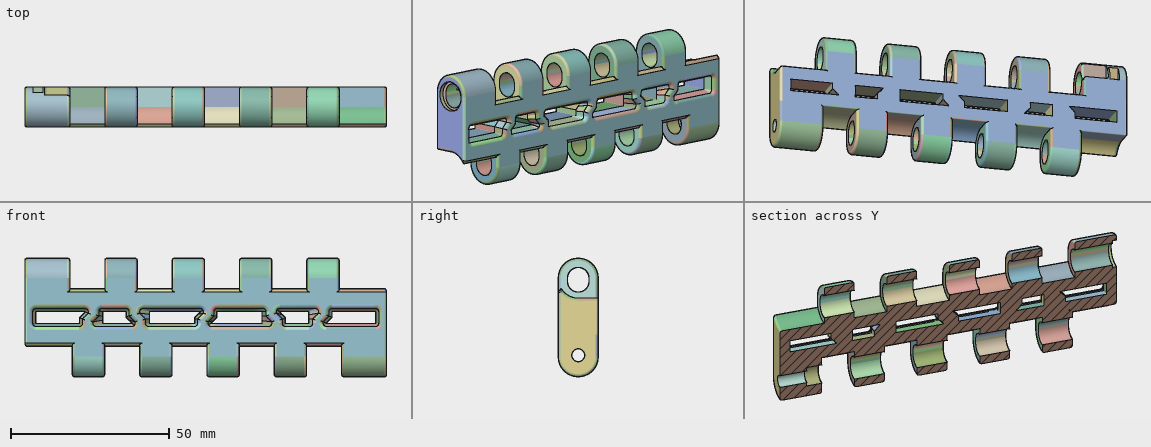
import cadquery as cq
import math

LENGTH = 114.2
THICKNESS = 12.7
HEIGHT = 37.5
EYE_RADIUS = THICKNESS / 2
HINGE_Z = HEIGHT / 2 - EYE_RADIUS
LEFT = -LENGTH / 2
RIGHT = LENGTH / 2
FRONT = -THICKNESS / 2
BACK = THICKNESS / 2
EDGE_FILLET = 0.8

EYE_COUNT = 5
EYE_PITCH = 21.2
EYE_WIDTH = 10.3
FIRST_EYE_CENTRE = LEFT + 9.1
END_EYE_STOP = FIRST_EYE_CENTRE + EYE_WIDTH / 2

HOLLOW_RADIUS = 6.3
GAP_FLOOR_Z = HINGE_Z - HOLLOW_RADIUS
LIP_DEPTH = 0.97
LIP_EDGE_Z = 8.1
BACK_FILLET = 0.3

BORE_DIAMETER = 6.7
BORE_STRETCH = 0.97
SMALL_BORE_DIAMETER = 4.0
ROD_SEAT_DIAMETER = 6.4
ROD_SEAT_DEPTH = 5.1
COUNTERBORE_DIAMETER = 9.4
COUNTERBORE_DEPTH = 1.4
BORE_MIDDLE_Z = HINGE_Z - BORE_STRETCH / 2

WINDOW_START = LEFT + 2.6
WINDOW_STOP = LEFT + 5.7
WINDOW_DEPTH = 1.8
NOTCH_START = LEFT + 6.3
NOTCH_DEPTH = 2.6

OPENING_HALF_HEIGHT = 4.0
OPENING_CORNER = 2.2
OPENING_END_WALL = 1.4
MOUTH_FILLET = 1.1
MOUTH_DEPTH = 1.4
NECK_INSET = 2.11
NECK_DEPTH = 3.9
SHARP_CORNER = 0.06
RIB_THICKNESS = 1.0
RIB_SHIFT = 0.9
WIDE_NECK_OFFSET = 3.9
INNER_RIB_X = 21.6
OUTER_RIB_X = 36.3
RIBS = [(-OUTER_RIB_X, 1), (-INNER_RIB_X, -1), (0.0, 1), (INNER_RIB_X, -1), (OUTER_RIB_X, 1)]


def half_turn(shape):
    return shape.rotate((0, 0, 0), (0, 1, 0), 180)


def make_body():
    """Slab with the hollow edge profile on both long sides."""
    lip_y = FRONT + LIP_DEPTH
    lip_z = HINGE_Z - math.sqrt(HOLLOW_RADIUS**2 - lip_y**2)
    mid_y = -HOLLOW_RADIUS * math.sin(math.asin(-lip_y / HOLLOW_RADIUS) / 2)
    mid_z = HINGE_Z - math.sqrt(HOLLOW_RADIUS**2 - mid_y**2)
    body = (
        cq.Workplane("YZ", origin=(LEFT, 0, 0))
        .moveTo(BACK, GAP_FLOOR_Z)
        .lineTo(0, GAP_FLOOR_Z)
        .threePointArc((mid_y, mid_z), (lip_y, lip_z))
        .lineTo(FRONT, LIP_EDGE_Z)
        .lineTo(FRONT, -LIP_EDGE_Z)
        .lineTo(lip_y, -lip_z)
        .threePointArc((mid_y, -mid_z), (0, -GAP_FLOOR_Z))
        .lineTo(BACK, -GAP_FLOOR_Z)
        .close()
        .extrude(LENGTH)
    )
    body = body.faces("<X or >X").edges().fillet(EDGE_FILLET)
    return body.edges("|X and >Y").fillet(BACK_FILLET)


def make_eye(start, end):
    """Upper eye with sharp edges, rooted at mid height."""
    return (
        cq.Workplane("YZ", origin=(start, 0, 0))
        .moveTo(BACK, 0)
        .lineTo(BACK, HINGE_Z)
        .threePointArc((0, HINGE_Z + EYE_RADIUS), (FRONT, HINGE_Z))
        .lineTo(FRONT, 0)
        .close()
        .extrude(end - start)
    )


def round_eye_ends(eye):
    """Round the end-face outlines, except along the root."""
    return eye.faces("<X or >X").edges("not(<Z)").fillet(EDGE_FILLET)


def make_recess(start, end, depth):
    """Tool cutting into the back of the end eye, from hinge height up."""
    return cq.Workplane("XY", origin=(start, BACK - depth, HINGE_Z)).box(
        end - start, depth, EYE_RADIUS, centered=False
    )


def make_recessed_end_eye():
    """Long eye with the rod retention recesses."""
    notch = make_recess(NOTCH_START, END_EYE_STOP, NOTCH_DEPTH).edges("<X and <Z").fillet(EDGE_FILLET)
    end_eye = round_eye_ends(make_eye(LEFT, END_EYE_STOP).cut(notch))
    return end_eye.cut(make_recess(WINDOW_START, WINDOW_STOP, WINDOW_DEPTH))


def make_eye_row(end_eye):
    """Upper row of eyes, starting with the given long one."""
    row = end_eye
    for i in range(1, EYE_COUNT):
        start = FIRST_EYE_CENTRE + i * EYE_PITCH - EYE_WIDTH / 2
        row = row.union(round_eye_ends(make_eye(start, start + EYE_WIDTH)))
    return row


def make_slot_bore(start, stop):
    """Rod slot stretched towards the body."""
    return (
        cq.Workplane("YZ", origin=(start, 0, BORE_MIDDLE_Z))
        .slot2D(BORE_DIAMETER + BORE_STRETCH, BORE_DIAMETER, 90)
        .extrude(stop - start)
    )


def make_round_bore(diameter, start, stop):
    return cq.Workplane("YZ", origin=(start, 0, BORE_MIDDLE_Z)).circle(diameter / 2).extrude(stop - start)


def end_points(side, rib, inset, neck_x):
    """Points of one end of an opening from top to bottom; side is -1 left, +1 right."""
    top = OPENING_HALF_HEIGHT - inset
    if rib is None:
        x = side * (LENGTH / 2 - OPENING_END_WALL - inset)
        return [(x, top), (x, -top)]
    middle, lean = rib
    if neck_x is not None:
        return [(neck_x, top), (neck_x, -top)]
    wall = middle - side * (RIB_THICKNESS / 2 + inset)
    crank = side * lean * inset * math.tan(math.pi / 8)
    return [
        (wall + lean * RIB_SHIFT, top),
        (wall + lean * RIB_SHIFT, RIB_SHIFT + crank),
        (wall - lean * RIB_SHIFT, -RIB_SHIFT + crank),
        (wall - lean * RIB_SHIFT, -top),
    ]


def opening_section(left_rib, right_rib, inset, y, wide_neck=False):
    """Closed outline of an opening in the plane at y, shrunk all round by inset.

    With wide_neck, the rib side nearer the module's middle is upright and set back from the rib.
    """
    left_neck = right_neck = None
    if wide_neck and left_rib is not None and left_rib[0] < 0:
        left_neck = left_rib[0] + WIDE_NECK_OFFSET
    if wide_neck and right_rib is not None and right_rib[0] > 0:
        right_neck = right_rib[0] - WIDE_NECK_OFFSET
    left = end_points(-1, left_rib, inset, left_neck)
    right = end_points(1, right_rib, inset, right_neck)
    corners = [right[0], right[-1], left[-1], left[0]]
    outline = right + left[::-1]
    wire = cq.Wire.makePolygon([cq.Vector(x, y, z) for x, z in outline], close=True)
    rounded = [
        v for v in wire.Vertices() if any(math.hypot(v.X - x, v.Z - z) < SHARP_CORNER / 2 for x, z in corners)
    ]
    return wire.fillet2D(max(OPENING_CORNER - inset, SHARP_CORNER), rounded)


def extrude_back(wire, depth):
    return cq.Workplane(cq.Solid.extrudeLinear(wire, [], cq.Vector(0, depth, 0)))


def make_opening(left_rib, right_rib):
    """Straight mouth, tapered sill, then a straight neck out of the back."""
    mouth_y = FRONT + MOUTH_DEPTH
    neck_y = FRONT + NECK_DEPTH
    entry = opening_section(left_rib, right_rib, MOUTH_FILLET, FRONT)
    mouth = opening_section(left_rib, right_rib, MOUTH_FILLET, mouth_y)
    neck = opening_section(left_rib, right_rib, NECK_INSET, neck_y, wide_neck=True)
    opening = extrude_back(entry, MOUTH_DEPTH)
    opening = opening.union(cq.Workplane(cq.Solid.makeLoft([mouth, neck], True)))
    return opening.union(extrude_back(neck, THICKNESS - NECK_DEPTH))


def cut_openings(part):
    for left_rib, right_rib in zip([None] + RIBS, RIBS + [None]):
        part = part.cut(make_opening(left_rib, right_rib))
    front_face = part.faces("<Y").val()
    mouth_edges = [edge for wire in front_face.innerWires() for edge in wire.Edges()]
    return part.newObject(mouth_edges).fillet(MOUTH_FILLET)


def cut_bores(part):
    """Slots along both rows; the long lower eye has a blind rod seat and a small hole instead."""
    part = part.cut(make_slot_bore(LEFT, RIGHT))
    part = part.cut(make_round_bore(COUNTERBORE_DIAMETER, LEFT, LEFT + COUNTERBORE_DEPTH))
    lower_bores = (
        make_slot_bore(END_EYE_STOP, RIGHT)
        .union(make_round_bore(ROD_SEAT_DIAMETER, END_EYE_STOP - ROD_SEAT_DEPTH, END_EYE_STOP))
        .union(make_round_bore(SMALL_BORE_DIAMETER, LEFT, RIGHT))
    )
    return part.cut(half_turn(lower_bores))


plain_end_eye = round_eye_ends(make_eye(LEFT, END_EYE_STOP))
upper_row = make_eye_row(make_recessed_end_eye())
lower_row = half_turn(make_eye_row(plain_end_eye))
solid = make_body().union(upper_row).union(lower_row)
result = cut_bores(cut_openings(solid))